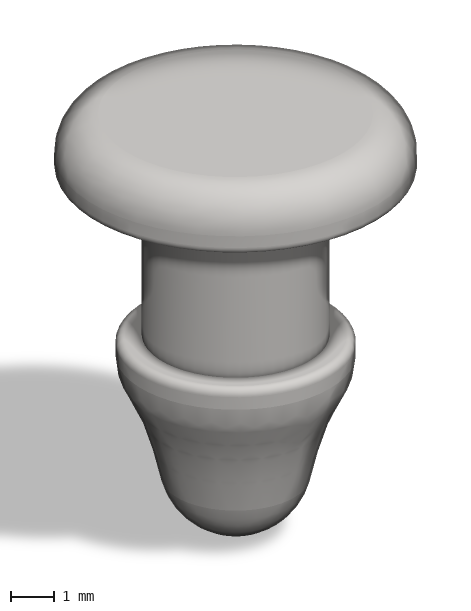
import cadquery as cq
import math

total_height = 10.7
head_radius = 8.3 / 2
head_height = 1.5
head_top_round = 1.01
head_bottom_round = 0.19

stem_radius = 2.15
stem_length = 4.2

collar_radius = 2.75
collar_round = 0.19
collar_height = 0.51

shoulder_radius = 2.4
shoulder_z = 3.42
waist_radius = 2.11
waist_z = 2.78
tip_radius = 1.77
tip_edge_radius = 1.71

head_bottom_z = total_height - head_height
collar_top_z = head_bottom_z - stem_length
collar_bottom_z = collar_top_z - collar_height
tip_edge_drop = math.sqrt(tip_radius**2 - tip_edge_radius**2)
tip_edge_z = tip_radius - tip_edge_drop


def make_head():
    head = cq.Workplane("XY").workplane(offset=head_bottom_z).circle(head_radius).extrude(head_height)
    return head.faces(">Z").edges().fillet(head_top_round).faces("<Z").edges().fillet(head_bottom_round)


def make_stem():
    return cq.Workplane("XY").workplane(offset=collar_top_z).circle(stem_radius).extrude(stem_length)


def make_plug():
    """Revolve the collar, S-shaped flank and round tip as one profile."""
    half_angle = math.asin(tip_edge_radius / tip_radius) / 2
    tip_middle = (tip_radius * math.sin(half_angle), tip_radius * (1 - math.cos(half_angle)))
    flank_points = [
        (shoulder_radius, shoulder_z),
        (waist_radius, waist_z),
        (tip_edge_radius, tip_edge_z),
    ]
    collar_tangent = (0, -1)
    tip_tangent = (-tip_edge_drop / tip_radius, -tip_edge_radius / tip_radius)
    profile = (
        cq.Workplane("XZ")
        .moveTo(0, collar_top_z)
        .lineTo(collar_radius - collar_round, collar_top_z)
        .radiusArc((collar_radius, collar_top_z - collar_round), collar_round)
        .lineTo(collar_radius, collar_bottom_z)
        .spline(flank_points, tangents=[collar_tangent, tip_tangent], includeCurrent=True)
        .threePointArc(tip_middle, (0, 0))
        .close()
    )
    return profile.revolve(360, (0, 0, 0), (0, 1, 0))


result = make_plug().union(make_stem()).union(make_head())